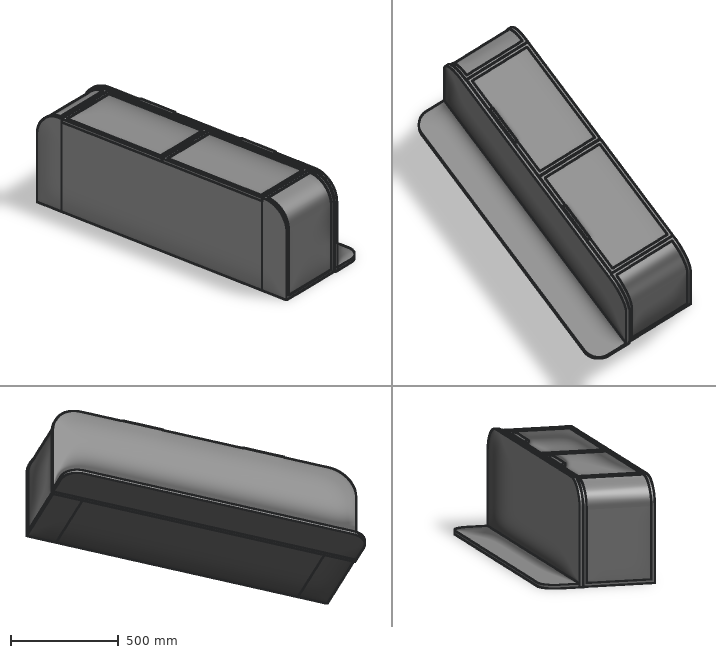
import cadquery as cq

TOTAL_WIDTH = 1502.0
TOTAL_DEPTH = 547.0
TOTAL_HEIGHT = 523.0
BOARD = 18.0

ARCH_HEIGHT = 499.0
ARCH_RADIUS = 137.0
BASE_LENGTH = 180.0
BASE_RADIUS = 81.0

CABINET_INSET = 6.0
CABINET_DEPTH = TOTAL_DEPTH - BASE_LENGTH - BOARD
CABINET_HEIGHT = ARCH_HEIGHT - CABINET_INSET
CORE_WIDTH = 1199.0
CORE_HEIGHT = CABINET_HEIGHT - BOARD
RECESS = 3.0

DOOR_GAP = 5.0
DOOR_PITCH = CORE_WIDTH / 2
DOOR_WIDTH = DOOR_PITCH - DOOR_GAP
DOOR_DEPTH = CABINET_DEPTH - DOOR_GAP
HANDLE_WIDTH = 203.0
HANDLE_DIAMETER = 15.0
HANDLE_LEG = 2.0

SIDES = (-1, 1)


def box(x0, x1, y0, y1, z0, z1):
    """Box between two opposite corners."""
    return cq.Workplane("XY").box(x1 - x0, y1 - y0, z1 - z0, centered=False).translate((x0, y0, z0))


def arched_block(inset, y0, y1):
    """Full-width block with rounded upper corners, its outline moved inwards by `inset`."""
    half_width = TOTAL_WIDTH / 2 - inset
    block = box(-half_width, half_width, y0, y1, 0, ARCH_HEIGHT - inset)
    return block.edges("|Y and >Z").fillet(ARCH_RADIUS - inset)


def make_arch_board():
    """Upright board with rounded upper corners, standing behind the cabinet."""
    return arched_block(0, CABINET_DEPTH, CABINET_DEPTH + BOARD)


def make_base_board():
    """Flat board on the floor with rounded rear corners."""
    half_width = TOTAL_WIDTH / 2
    board = box(-half_width, half_width, TOTAL_DEPTH - BASE_LENGTH, TOTAL_DEPTH, 0, BOARD)
    return board.edges("|Z and >Y").fillet(BASE_RADIUS)


def make_core():
    """Block under the doors, between the two ends."""
    return box(-CORE_WIDTH / 2, CORE_WIDTH / 2, 0, CABINET_DEPTH, 0, CORE_HEIGHT)


def make_end(side):
    """Rounded end of the cabinet with a recessed panel that wraps from its side over its top."""
    x0, x1 = sorted((side * CORE_WIDTH / 2, side * TOTAL_WIDTH / 2))
    end = arched_block(CABINET_INSET, 0, CABINET_DEPTH).intersect(
        box(x0, x1, 0, CABINET_DEPTH, 0, CABINET_HEIGHT)
    )
    x0, x1 = sorted((side * (CORE_WIDTH / 2 + BOARD), side * TOTAL_WIDTH / 2))
    recess = box(x0, x1, BOARD, CABINET_DEPTH - BOARD, BOARD, CABINET_HEIGHT).cut(
        arched_block(CABINET_INSET + RECESS, 0, CABINET_DEPTH)
    )
    return end.cut(recess)


def make_door(side):
    """Lid board with a recessed panel inside a raised rim."""
    x_mid = side * DOOR_PITCH / 2
    x0 = x_mid - DOOR_WIDTH / 2
    x1 = x_mid + DOOR_WIDTH / 2
    board = box(x0, x1, 0, DOOR_DEPTH, CORE_HEIGHT, CABINET_HEIGHT)
    recess = box(
        x0 + BOARD, x1 - BOARD, BOARD, DOOR_DEPTH - BOARD, CABINET_HEIGHT - RECESS, CABINET_HEIGHT
    )
    return board.cut(recess)


def make_handle(side):
    """Bar with a round front on a thin leg that lies against the back of the door."""
    x0 = side * DOOR_PITCH / 2 - HANDLE_WIDTH / 2
    radius = HANDLE_DIAMETER / 2
    y_back = DOOR_DEPTH + HANDLE_LEG
    y_bar = y_back - radius
    z_bar = TOTAL_HEIGHT - radius
    z_under = TOTAL_HEIGHT - HANDLE_DIAMETER
    profile = (
        cq.Workplane("YZ", origin=(x0, 0, 0))
        .moveTo(y_back, CORE_HEIGHT)
        .lineTo(y_back, z_bar)
        .threePointArc((y_bar - radius, z_bar), (y_bar, z_under))
        .lineTo(DOOR_DEPTH, z_under)
        .lineTo(DOOR_DEPTH, CORE_HEIGHT)
        .close()
    )
    return profile.extrude(HANDLE_WIDTH)


arch_board = make_arch_board()
base_board = make_base_board()
core = make_core()
ends = [make_end(side).val() for side in SIDES]
doors = [make_door(side).val() for side in SIDES]
handles = [make_handle(side).val() for side in SIDES]

result = cq.Compound.makeCompound(
    [arch_board.val(), base_board.val(), core.val(), *ends, *doors, *handles]
)